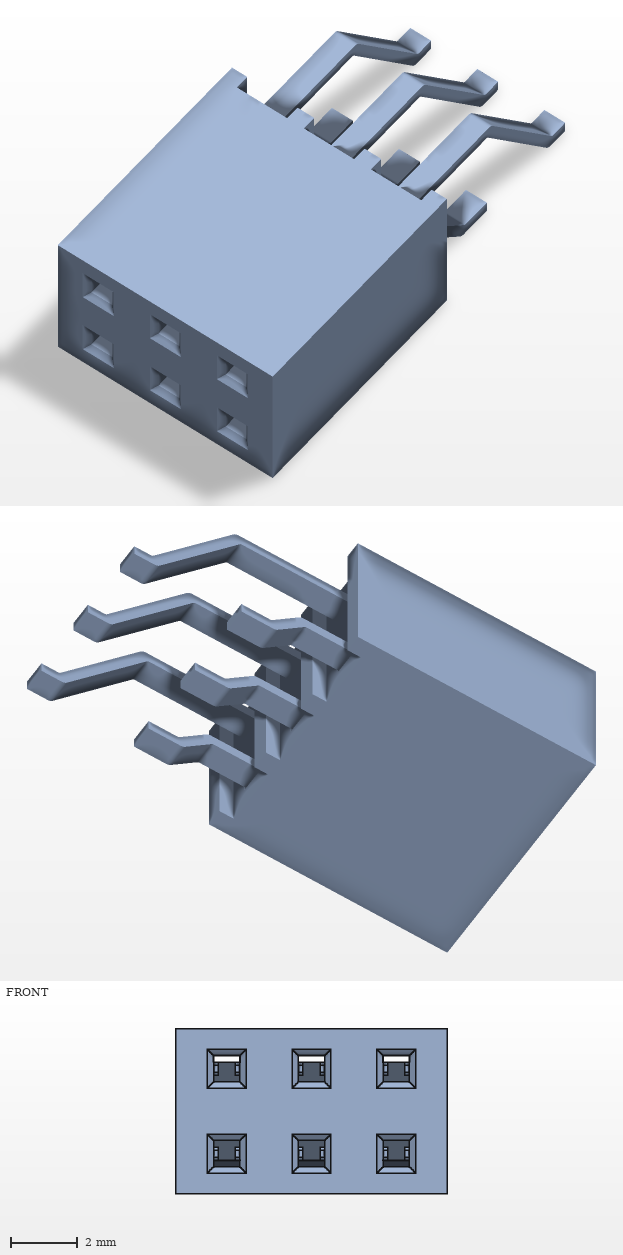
import cadquery as cq
import math

PITCH = 2.54
COLUMNS = 3
WIDTH = 8.13
HEIGHT = 4.95
HOUSING_DEPTH = 8.5
TOTAL_LENGTH = 15.75

COLUMN_X = [(i - (COLUMNS - 1) / 2) * PITCH for i in range(COLUMNS)]
LOWER_ROW_Z = HEIGHT / 2 - PITCH / 2
UPPER_ROW_Z = HEIGHT / 2 + PITCH / 2

SOCKET = 0.79
MOUTH = 1.17
MOUTH_DEPTH = (MOUTH - SOCKET) / 2

NOTCH_WIDTH = 1.9
NOTCH_DEPTH = 0.5
NOTCH_FLOOR_Y = HOUSING_DEPTH - NOTCH_DEPTH

STRIP_WIDTH = SOCKET
STRIP_THICKNESS = 0.4
FORK_GAP = 0.52
PRONG_LENGTH = 3.94
PRONG_CHAMFER = 0.1
OUTER_BEND_RADIUS = 0.25
INNER_BEND_RADIUS = 0.13

UPPER_FOOT_END_Y = TOTAL_LENGTH
UPPER_FOOT_BEND_Y = 15.1
UPPER_LEG_ANGLE = 50.0
LOWER_FOOT_END_Y = 11.92
LOWER_FOOT_BEND_Y = 10.85
LOWER_LEG_ANGLE = 43.5

WEB_THICKNESS = 1.89
WEB_WIDTH = (COLUMNS - 1) * PITCH + STRIP_WIDTH
WEB_HEIGHT = PITCH + STRIP_THICKNESS
WEB_FRONT_Y = NOTCH_FLOOR_Y - WEB_THICKNESS


def box(width, depth, height, x, front_y, z):
    """Box centred on x and z that starts at front_y."""
    return cq.Workplane("XY").box(width, depth, height).translate((x, front_y + depth / 2, z))


def make_web():
    return box(WEB_WIDTH, WEB_THICKNESS, WEB_HEIGHT, 0, WEB_FRONT_Y, HEIGHT / 2)


def make_socket(x, z):
    """Square through hole and the pyramid-shaped lead-in at its mouth."""
    hole = box(SOCKET, HOUSING_DEPTH, SOCKET, x, 0, z)
    lead_in = (
        cq.Workplane("XZ")
        .rect(MOUTH, MOUTH)
        .workplane(offset=-MOUTH_DEPTH)
        .rect(SOCKET, SOCKET)
        .loft(ruled=True)
        .translate((x, 0, z))
    )
    return hole.union(lead_in)


def make_housing():
    body = box(WIDTH, HOUSING_DEPTH, HEIGHT, 0, 0, HEIGHT / 2)
    for x in COLUMN_X:
        body = body.cut(box(NOTCH_WIDTH, NOTCH_DEPTH, HEIGHT, x, NOTCH_FLOOR_Y, HEIGHT / 2))
        for z in (LOWER_ROW_Z, UPPER_ROW_Z):
            body = body.cut(make_socket(x, z))
    return body.cut(make_web())


def make_prongs(x, z):
    """Two prongs with wedge tips on either side of the fork gap, up to the front of the web."""
    prong_width = (STRIP_WIDTH - FORK_GAP) / 2
    prong_offset = (STRIP_WIDTH - prong_width) / 2
    prong = (
        box(prong_width, PRONG_LENGTH, STRIP_THICKNESS, x, WEB_FRONT_Y - PRONG_LENGTH, z)
        .faces("<Y")
        .edges("|X")
        .chamfer(PRONG_CHAMFER)
    )
    return [prong.translate((side * prong_offset, 0, 0)) for side in (-1, 1)]


def make_tail(x, z, foot_end_y, foot_bend_y, leg_angle):
    """Strip from the front of the web, down the sloping leg to the foot at Z = 0."""
    top_z = z + STRIP_THICKNESS / 2
    bottom_z = z - STRIP_THICKNESS / 2
    top_bend_y = foot_bend_y - bottom_z / math.tan(math.radians(leg_angle))
    mitre = STRIP_THICKNESS * math.tan(math.radians(leg_angle / 2))
    outline = [
        (WEB_FRONT_Y, bottom_z),
        (WEB_FRONT_Y, top_z),
        (top_bend_y, top_z),
        (foot_bend_y, STRIP_THICKNESS),
        (foot_end_y, STRIP_THICKNESS),
        (foot_end_y, 0),
        (foot_bend_y - mitre, 0),
        (top_bend_y - mitre, bottom_z),
    ]

    def bend_edge(y, edge_z):
        return cq.selectors.NearestToPointSelector((x, y, edge_z))

    tail = (
        cq.Workplane("YZ")
        .polyline(outline)
        .close()
        .extrude(STRIP_WIDTH / 2, both=True)
        .translate((x, 0, 0))
    )
    for y, edge_z in ((top_bend_y, top_z), (foot_bend_y - mitre, 0)):
        tail = tail.edges(bend_edge(y, edge_z)).fillet(OUTER_BEND_RADIUS)
    for y, edge_z in ((foot_bend_y, STRIP_THICKNESS), (top_bend_y - mitre, bottom_z)):
        tail = tail.edges(bend_edge(y, edge_z)).fillet(INNER_BEND_RADIUS)
    return tail


def make_contact_set():
    contacts = make_web()
    for x in COLUMN_X:
        for z in (LOWER_ROW_Z, UPPER_ROW_Z):
            for prong in make_prongs(x, z):
                contacts = contacts.union(prong)
        contacts = contacts.union(
            make_tail(x, LOWER_ROW_Z, LOWER_FOOT_END_Y, LOWER_FOOT_BEND_Y, LOWER_LEG_ANGLE)
        )
        contacts = contacts.union(
            make_tail(x, UPPER_ROW_Z, UPPER_FOOT_END_Y, UPPER_FOOT_BEND_Y, UPPER_LEG_ANGLE)
        )
    return contacts


housing = make_housing()
contact_set = make_contact_set()
result = cq.Compound.makeCompound([housing.solids().val(), contact_set.solids().val()])